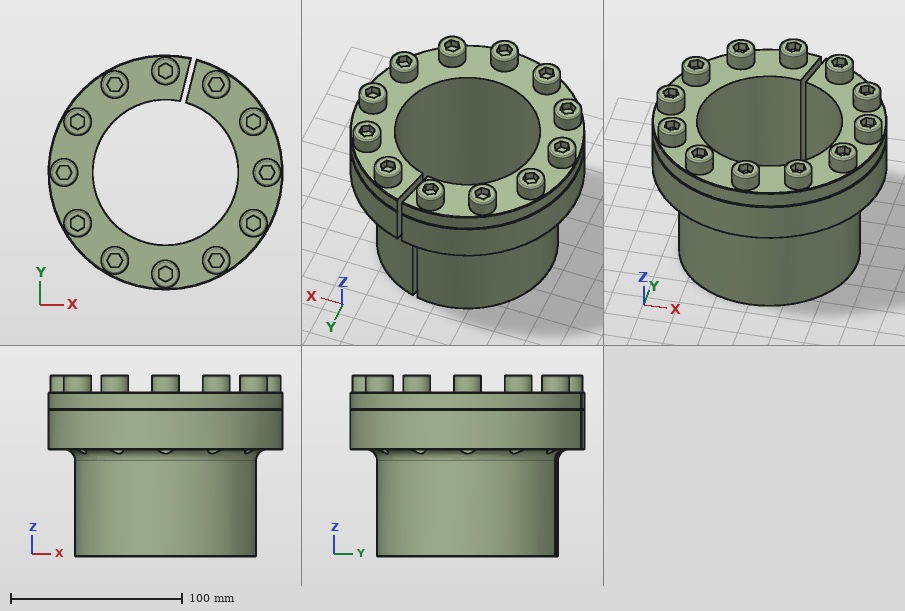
import cadquery as cq
import math

total_height = 106.0
head_height = 10.0
collar_thickness = 10.0
flange_thickness = 23.5
collar_top = total_height - head_height
joint_height = collar_top - collar_thickness
flange_bottom = joint_height - flange_thickness

bore_diameter = 85.0
sleeve_diameter = 106.0
flange_diameter = 137.0
neck_fillet = 6.0
edge_chamfer = 0.5

slit_width = 3.4
slit_angle = 76.0

screw_count = 12
screw_circle_diameter = 118.6
thread_diameter = 10.0
head_diameter = 16.0
head_edge_fillet = 1.0
socket_sides = 6
socket_across_flats = 8.0
socket_depth = 5.0


def make_body():
    """Sleeve, flange and collar as one revolved profile, with a V-groove at the joint."""
    bore_radius = bore_diameter / 2
    sleeve_radius = sleeve_diameter / 2
    flange_radius = flange_diameter / 2
    chamfered_radius = flange_radius - edge_chamfer
    arc_inset = neck_fillet * (1 - math.sqrt(0.5))
    profile = (
        cq.Workplane("XZ")
        .moveTo(bore_radius, 0)
        .lineTo(sleeve_radius - edge_chamfer, 0)
        .lineTo(sleeve_radius, edge_chamfer)
        .lineTo(sleeve_radius, flange_bottom - neck_fillet)
        .threePointArc(
            (sleeve_radius + arc_inset, flange_bottom - arc_inset),
            (sleeve_radius + neck_fillet, flange_bottom),
        )
        .lineTo(chamfered_radius, flange_bottom)
        .lineTo(flange_radius, flange_bottom + edge_chamfer)
        .lineTo(flange_radius, joint_height - edge_chamfer)
        .lineTo(chamfered_radius, joint_height)
        .lineTo(flange_radius, joint_height + edge_chamfer)
        .lineTo(flange_radius, collar_top - edge_chamfer)
        .lineTo(chamfered_radius, collar_top)
        .lineTo(bore_radius, collar_top)
        .close()
    )
    body = profile.revolve(360, (0, 0, 0), (0, 1, 0))
    return body.rotate((0, 0, 0), (0, 0, 1), slit_angle)


def make_slit():
    """Radial slot from the axis outwards, over the full height of the body."""
    slit_length = flange_diameter
    slot = cq.Workplane("XY").box(slit_length, slit_width, collar_top, centered=(False, True, False))
    return slot.rotate((0, 0, 0), (0, 0, 1), slit_angle)


def make_screw_head():
    """Cylindrical head with a rounded rim and a hexagon socket, standing on the XY plane."""
    socket_across_corners = socket_across_flats / math.cos(math.pi / socket_sides)
    return (
        cq.Workplane("XY")
        .circle(head_diameter / 2)
        .extrude(head_height)
        .faces(">Z")
        .edges()
        .fillet(head_edge_fillet)
        .faces(">Z")
        .workplane()
        .polygon(socket_sides, socket_across_corners)
        .cutBlind(-socket_depth)
    )


def make_neck_relief():
    """Cylinder that continues a screw hole down through the neck fillet."""
    return cq.Workplane("XY").circle(thread_diameter / 2).extrude(-neck_fillet)


def place_on_screw_circle(shape, height, index):
    """Move a shape to one screw position and turn it to face outwards."""
    angle = 360.0 * index / screw_count
    moved = shape.translate((screw_circle_diameter / 2, 0, height))
    return moved.rotate((0, 0, 0), (0, 0, 1), angle)


result = make_body().cut(make_slit())
screw_head = make_screw_head()
neck_relief = make_neck_relief()
for screw_index in range(screw_count):
    result = result.cut(place_on_screw_circle(neck_relief, flange_bottom, screw_index))
    result = result.union(place_on_screw_circle(screw_head, collar_top, screw_index))